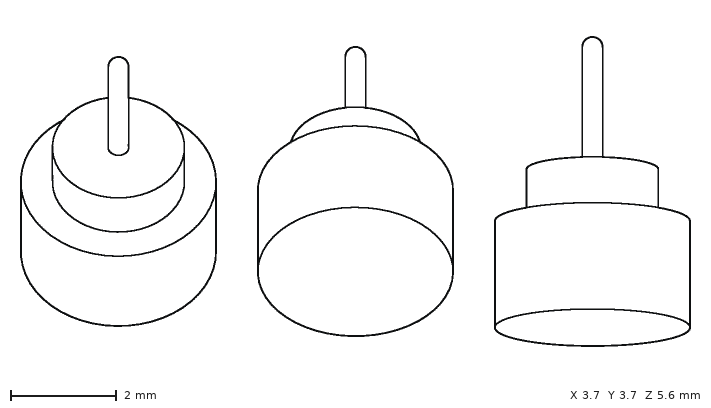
import cadquery as cq
import math

base_diameter = 3.7
base_height = 2.05
collar_diameter = 2.5
collar_height = 1.0
insert_diameter = 1.95
pin_diameter = 0.39
overall_height = 5.6

base_radius = base_diameter / 2
collar_radius = collar_diameter / 2
insert_radius = insert_diameter / 2
pin_radius = pin_diameter / 2
collar_top = base_height + collar_height
tip_start = overall_height - pin_radius
tip_mid_offset = pin_radius * math.sin(math.radians(45))


def revolve_about_z(profile):
    """Turn a closed half-profile in the XZ plane fully around the Z axis."""
    return profile.close().revolve(360, (0, 0, 0), (0, 1, 0))


def make_shell():
    """Stepped round shell (base and collar) with a bore for the insert."""
    profile = (
        cq.Workplane("XZ")
        .moveTo(-insert_radius, 0)
        .lineTo(-base_radius, 0)
        .lineTo(-base_radius, base_height)
        .lineTo(-collar_radius, base_height)
        .lineTo(-collar_radius, collar_top)
        .lineTo(-insert_radius, collar_top)
    )
    return revolve_about_z(profile)


def make_insert_with_pin():
    """Insert filling the bore flush with the collar, carrying a round-tipped pin."""
    profile = (
        cq.Workplane("XZ")
        .moveTo(0, 0)
        .lineTo(-insert_radius, 0)
        .lineTo(-insert_radius, collar_top)
        .lineTo(-pin_radius, collar_top)
        .lineTo(-pin_radius, tip_start)
        .threePointArc((-tip_mid_offset, tip_start + tip_mid_offset), (0, overall_height))
    )
    return revolve_about_z(profile)


result = make_shell().union(make_insert_with_pin(), clean=False)